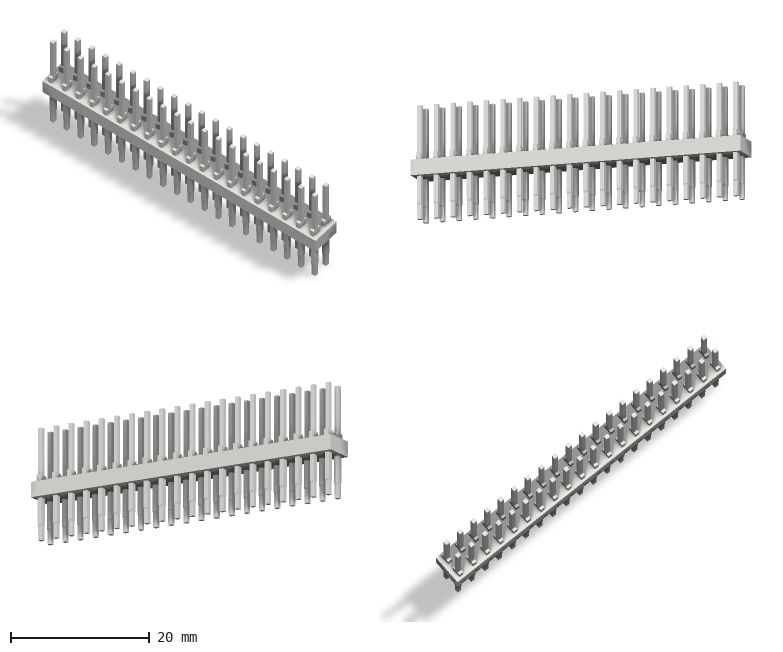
import cadquery as cq

body_length = 50.4
body_width = 4.9
body_height = 2.3
total_height = 16.8

column_count = 20
row_count = 2
end_margin = 1.05
pitch = (body_length - 2 * end_margin) / (column_count - 1)

pin_size = 0.65
shoulder_width = 1.5
shoulder_height = 1.05
tail_width = 0.9
tail_length = 6.35
tail_wide_length = 4.0
tail_taper_height = 0.25

pin_bottom = -tail_length
pin_top = total_height - tail_length
shoulder_top = body_height + shoulder_height
taper_top = -tail_wide_length
taper_bottom = taper_top - tail_taper_height


def make_body():
    return cq.Workplane("XY").box(body_length, body_width, body_height, centered=(True, True, False))


def make_pin():
    """One pin, symmetric about its axis: tail, body section with shoulder, and upper pin."""
    right_side = [
        (pin_size / 2, pin_bottom),
        (pin_size / 2, taper_bottom),
        (tail_width / 2, taper_top),
        (tail_width / 2, 0),
        (shoulder_width / 2, 0),
        (shoulder_width / 2, shoulder_top),
        (pin_size / 2, shoulder_top),
        (pin_size / 2, pin_top),
    ]
    left_side = [(-y, z) for y, z in reversed(right_side)]
    outline = cq.Workplane("YZ").polyline(right_side + left_side).close()
    return outline.extrude(pin_size / 2, both=True)


pin = make_pin().val()
pins = (
    cq.Workplane("XY")
    .rarray(pitch, pitch, column_count, row_count)
    .eachpoint(lambda location: pin.moved(location))
)
result = make_body().union(pins)